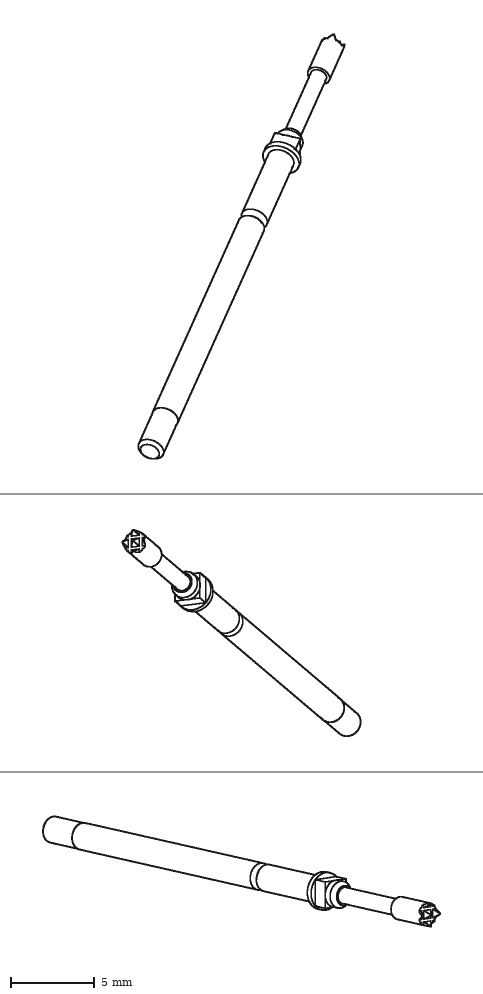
import cadquery as cq

length = 35.8
barrel_diameter = 1.65
shaft_diameter = 1.0
head_diameter = 1.4
collar_diameter = 2.3

tail_chamfer = 0.2
tail_start = 2.97
groove_center = 20.05
groove_half_width = 0.3
groove_depth = 0.3
collar_start = 25.53
collar_thickness = 0.35
square_length = 0.93
neck_cone_start = 27.28
neck_end = 27.65
head_start = 32.85

tail_diameter = 1.6
square_side = tail_diameter
neck_end_diameter = 1.2

serration_depth = 0.35
serration_width = 0.65
serration_floor_width = 0.18
serration_spacing = head_diameter / 2

barrel_radius = barrel_diameter / 2
tail_radius = tail_diameter / 2
collar_end = collar_start + collar_thickness
square_end = collar_end + square_length
rear_end = -length / 2


def cylinder(diameter, start, end):
    """Round section about the Y axis between two stations from the tail."""
    section = cq.Workplane("XZ", origin=(0, rear_end + start, 0))
    return section.circle(diameter / 2).extrude(start - end)


def revolved(profile):
    """Solid of revolution about Y from (radius, station) points."""
    outline = cq.Workplane("XY", origin=(0, rear_end, 0)).polyline(profile).close()
    return outline.revolve(360, (0, 0, 0), (0, 1, 0))


def make_barrel():
    """Revolved barrel with a chamfered tail and a V groove, up to the collar face."""
    profile = [
        (0, 0),
        (tail_radius - tail_chamfer, 0),
        (tail_radius, tail_chamfer),
        (tail_radius, tail_start),
        (barrel_radius, tail_start),
        (barrel_radius, groove_center - groove_half_width),
        (barrel_radius - groove_depth, groove_center),
        (barrel_radius, groove_center + groove_half_width),
        (barrel_radius, collar_end),
        (0, collar_end),
    ]
    return revolved(profile)


def make_square():
    """Square anti-rotation section seated on the collar."""
    section = cq.Workplane("XZ", origin=(0, rear_end + collar_end, 0))
    return section.rect(square_side, square_side).extrude(-square_length)


def make_neck():
    """Round neck ahead of the square, ending in a short cone."""
    profile = [
        (0, square_end),
        (barrel_radius, square_end),
        (barrel_radius, neck_cone_start),
        (neck_end_diameter / 2, neck_end),
        (0, neck_end),
    ]
    return revolved(profile)


def serration_cutter(offset):
    """Tapered groove running along Z across the head face, centred at X = offset."""
    half_width = serration_width / 2
    half_floor = serration_floor_width / 2
    tip = length / 2
    profile = [
        (offset - half_width, tip),
        (offset - half_floor, tip - serration_depth),
        (offset + half_floor, tip - serration_depth),
        (offset + half_width, tip),
    ]
    return cq.Workplane("XY").polyline(profile).close().extrude(head_diameter, both=True)


def make_plunger():
    """Thin shaft and wider head with two pairs of crossed grooves."""
    shaft = cylinder(shaft_diameter, neck_end, head_start)
    head = cylinder(head_diameter, head_start, length)
    for side in (-1, 1):
        cutter = serration_cutter(side * serration_spacing / 2)
        head = head.cut(cutter)
        head = head.cut(cutter.rotate((0, 0, 0), (0, 1, 0), 90))
    return shaft.union(head)


barrel = make_barrel()
collar = cylinder(collar_diameter, collar_start, collar_end)
result = barrel.union(collar).union(make_square()).union(make_neck()).union(make_plunger())